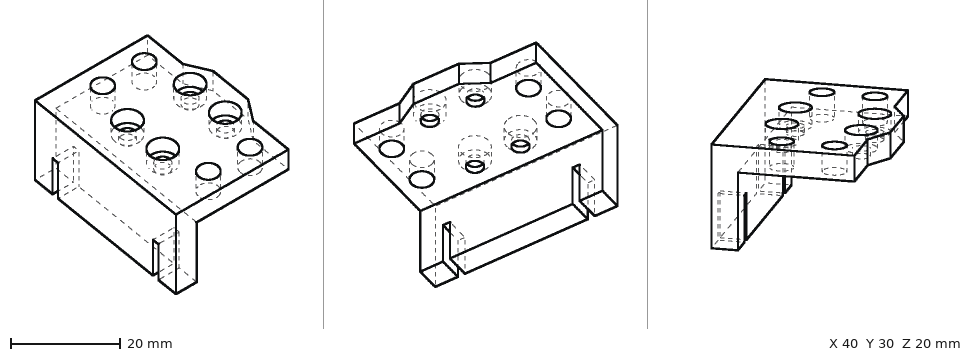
import cadquery as cq

length = 40.0
depth = 30.0
height = 20.0
thickness = 5.0

tab_reach = 3.0
tab_root_width = 20.0
tab_tip_width = 10.0

slot_width = 1.5
slot_height = 9.0
slot_outer_inset = 5.0

plain_diameter = 4.5
plain_spacing_x = 30.0
plain_spacing_y = 10.0
plain_front_y = 12.0

screw_diameter = 3.3
bore_diameter = 6.0
bore_depth = 3.5
screw_spacing_x = 10.0
screw_spacing_y = 15.0
screw_front_y = 9.5


def hole_centres(spacing_x, spacing_y, front_y):
    """Corners of a rectangle centred on X = 0, with its front row at front_y."""
    return [(x, y) for x in (-spacing_x / 2, spacing_x / 2) for y in (front_y, front_y + spacing_y)]


def make_plate():
    shoulder_y = depth - tab_reach
    outline = [
        (-length / 2, 0),
        (length / 2, 0),
        (length / 2, shoulder_y),
        (tab_root_width / 2, shoulder_y),
        (tab_tip_width / 2, depth),
        (-tab_tip_width / 2, depth),
        (-tab_root_width / 2, shoulder_y),
        (-length / 2, shoulder_y),
    ]
    base = cq.Workplane("XY").workplane(offset=height - thickness)
    return base.polyline(outline).close().extrude(thickness)


def make_wall():
    wall = cq.Workplane("XY").box(length, thickness, height, centered=(True, False, False))
    slot_x = length / 2 - slot_outer_inset - slot_width / 2
    slots = (
        cq.Workplane("XY")
        .pushPoints([(-slot_x, thickness / 2), (slot_x, thickness / 2)])
        .rect(slot_width, thickness)
        .extrude(slot_height)
    )
    return wall.cut(slots)


bracket = make_plate().union(make_wall())
top = cq.Workplane("XY").workplane(offset=height)

plain_holes = (
    top.pushPoints(hole_centres(plain_spacing_x, plain_spacing_y, plain_front_y))
    .circle(plain_diameter / 2)
    .extrude(-thickness)
)
screw_centres = hole_centres(screw_spacing_x, screw_spacing_y, screw_front_y)
screw_holes = top.pushPoints(screw_centres).circle(screw_diameter / 2).extrude(-thickness)
counterbores = top.pushPoints(screw_centres).circle(bore_diameter / 2).extrude(-bore_depth)

result = bracket.cut(plain_holes).cut(screw_holes).cut(counterbores)